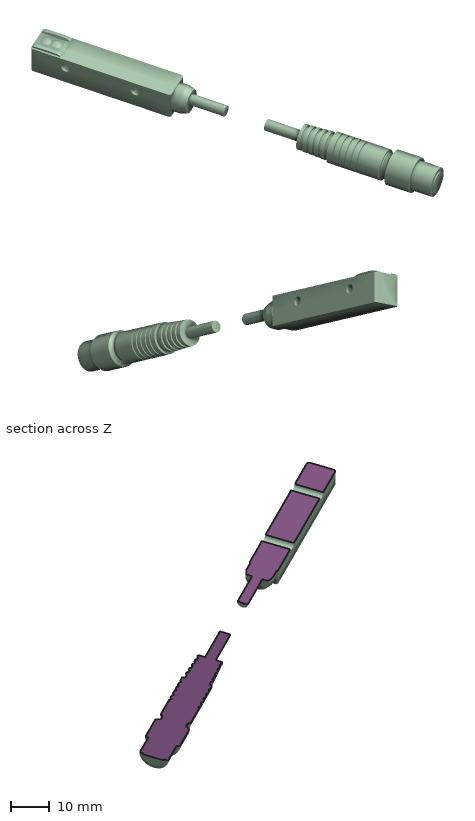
import cadquery as cq

TOTAL_LENGTH = 114.7

HOUSING_LENGTH = 40.0
HOUSING_SIDE = 8.0
HOUSING_TOP_Z = 3.3
HOUSING_MID_Z = HOUSING_TOP_Z - HOUSING_SIDE / 2
HOUSING_CHAMFER = 0.5
HOLE_DIAMETER = 2.4
HOLE_DEPTH_BELOW_TOP = 3.0
FIRST_HOLE_X = 10.0
HOLE_SPACING = 20.0

PLATE_LENGTH = 8.5
PLATE_WIDTH = HOUSING_SIDE - 2 * HOUSING_CHAMFER
PLATE_HEIGHT = 0.1
RAIL_HEIGHT = 0.7
RAIL_SHOULDER_HEIGHT = 0.6
RAIL_RAMP_LENGTH = 1.1
RAIL_FLAT_LENGTH = 1.4
RAIL_BASE_WIDTH = 1.4
RAIL_TOP_WIDTH = 0.9
LENS_DIAMETER = 3.1
LENS_HEIGHT = 0.5
LENS_COUNT = 2
LENS_SPACING = 2.8
FIRST_LENS_X = 2.6

GLAND_DROP = 0.1
GLAND_MID_Z = HOUSING_MID_Z - GLAND_DROP
GLAND_DIAMETER = 7.7
GLAND_STRAIGHT_LENGTH = 2.3
GLAND_TAPER_LENGTH = 1.7
GLAND_END_DIAMETER = 6.5
GLAND_LENGTH = GLAND_STRAIGHT_LENGTH + GLAND_TAPER_LENGTH
SENSOR_CABLE_DIAMETER = 3.0
SENSOR_CABLE_LENGTH = 10.0

CONNECTOR_START_X = 65.6
CONNECTOR_CABLE_DIAMETER = 3.1
BOOT_START_X = 75.7
RIB_COUNT = 5
FIRST_RIB_DIAMETER = 7.0
LAST_RIB_DIAMETER = 7.7
RIB_PITCH = 1.7
RIB_WIDTH = 0.97
BOOT_CORE_START_DIAMETER = 6.2
BOOT_CORE_END_DIAMETER = 7.0
GRIP_START_X = 84.6
GRIP_END_X = 99.7
GRIP_DIAMETER = 8.5
GRIP_GROOVE_DIAMETER = 7.8
GRIP_GROOVE_WIDTH = 0.3
GRIP_GROOVE_COUNT = 5
GRIP_GROOVE_PITCH = 1.7
FIRST_GRIP_GROOVE_X = 86.2
COLLAR_DIAMETER = 7.5
COLLAR_END_X = 100.1
NECK_DIAMETER = 7.0
NECK_END_X = 101.0
NUT_TAPER_DIAMETER = 7.7
NUT_START_X = 101.6
NUT_END_X = 108.5
NUT_DIAMETER = 9.6
PLUG_DIAMETER = 8.0
PLUG_TIP_LENGTH = 0.3
PLUG_TIP_DIAMETER = 5.8


def cylinder(start_x, end_x, diameter, axis_z=0.0):
    """Solid cylinder along X."""
    return (
        cq.Workplane("YZ", origin=(start_x, 0, axis_z))
        .circle(diameter / 2)
        .extrude(end_x - start_x)
    )


def cone(start_x, end_x, start_diameter, end_diameter, axis_z=0.0):
    """Solid truncated cone along X."""
    return cq.Workplane(
        cq.Solid.makeCone(
            start_diameter / 2,
            end_diameter / 2,
            end_x - start_x,
            cq.Vector(start_x, 0, axis_z),
            cq.Vector(1, 0, 0),
        )
    )


def make_housing():
    """Square bar with chamfered upright edges and two cross holes."""
    housing = (
        cq.Workplane("XY")
        .box(HOUSING_LENGTH, HOUSING_SIDE, HOUSING_SIDE)
        .edges("|Z")
        .chamfer(HOUSING_CHAMFER)
        .translate((HOUSING_LENGTH / 2, 0, HOUSING_MID_Z))
    )
    hole_z = HOUSING_TOP_Z - HOLE_DEPTH_BELOW_TOP
    holes = (
        cq.Workplane("XZ")
        .pushPoints([(FIRST_HOLE_X, hole_z), (FIRST_HOLE_X + HOLE_SPACING, hole_z)])
        .circle(HOLE_DIAMETER / 2)
        .extrude(HOUSING_SIDE, both=True)
    )
    return housing.cut(holes)


def make_rail():
    """Guard rail on the +Y side: arched along X, with a sloping inner face."""
    top_z = HOUSING_TOP_Z + RAIL_HEIGHT
    shoulder_z = HOUSING_TOP_Z + RAIL_SHOULDER_HEIGHT
    mid_x = PLATE_LENGTH / 2
    half_arch = (
        cq.Workplane("XZ")
        .moveTo(mid_x, HOUSING_TOP_Z)
        .lineTo(mid_x, top_z)
        .lineTo(mid_x - RAIL_FLAT_LENGTH / 2, top_z)
        .tangentArcPoint((RAIL_RAMP_LENGTH, shoulder_z), relative=False)
        .tangentArcPoint((0, HOUSING_TOP_Z), relative=False)
        .close()
        .extrude(-HOUSING_SIDE)
    )
    arch = half_arch.union(half_arch.mirror("YZ", (mid_x, 0, 0)))
    outer_y = PLATE_WIDTH / 2
    section = (
        cq.Workplane("YZ")
        .polyline(
            [
                (outer_y, HOUSING_TOP_Z),
                (outer_y, top_z),
                (outer_y - RAIL_TOP_WIDTH, top_z),
                (outer_y - RAIL_BASE_WIDTH, HOUSING_TOP_Z),
            ]
        )
        .close()
        .extrude(PLATE_LENGTH)
    )
    return arch.intersect(section)


def make_lens(center_x):
    """Spherical cap rising through the plate, with its visible rim on the plate top."""
    rim_radius = LENS_DIAMETER / 2
    sphere_radius = (rim_radius**2 + LENS_HEIGHT**2) / (2 * LENS_HEIGHT)
    sphere_z = HOUSING_TOP_Z + PLATE_HEIGHT + LENS_HEIGHT - sphere_radius
    sphere = cq.Workplane("XZ", origin=(center_x, 0, sphere_z)).sphere(sphere_radius)
    above_housing = (
        cq.Workplane("XY", origin=(center_x, 0, HOUSING_TOP_Z))
        .rect(2 * LENS_DIAMETER, 2 * LENS_DIAMETER)
        .extrude(LENS_DIAMETER)
    )
    return sphere.intersect(above_housing)


def make_window():
    """Thin plate with two rails and two lenses."""
    window = (
        cq.Workplane("XY", origin=(PLATE_LENGTH / 2, 0, HOUSING_TOP_Z))
        .rect(PLATE_LENGTH, PLATE_WIDTH)
        .extrude(PLATE_HEIGHT)
    )
    rail = make_rail()
    window = window.union(rail).union(rail.mirror("XZ"))
    for index in range(LENS_COUNT):
        window = window.union(make_lens(FIRST_LENS_X + index * LENS_SPACING))
    return window


def make_sensor():
    """Housing, window, gland and cable stub as one solid."""
    taper_x = HOUSING_LENGTH + GLAND_STRAIGHT_LENGTH
    gland_end_x = HOUSING_LENGTH + GLAND_LENGTH
    cable_end_x = gland_end_x + SENSOR_CABLE_LENGTH
    return (
        make_housing()
        .union(make_window())
        .union(cylinder(HOUSING_LENGTH, taper_x, GLAND_DIAMETER, GLAND_MID_Z))
        .union(cone(taper_x, gland_end_x, GLAND_DIAMETER, GLAND_END_DIAMETER, GLAND_MID_Z))
        .union(cylinder(gland_end_x, cable_end_x, SENSOR_CABLE_DIAMETER))
    )


def make_boot():
    """Tapered core with ribs that grow evenly towards the grip."""
    boot = cone(BOOT_START_X, GRIP_START_X, BOOT_CORE_START_DIAMETER, BOOT_CORE_END_DIAMETER)
    diameter_step = (LAST_RIB_DIAMETER - FIRST_RIB_DIAMETER) / (RIB_COUNT - 1)
    for index in range(RIB_COUNT):
        diameter = FIRST_RIB_DIAMETER + index * diameter_step
        rib_x = BOOT_START_X + index * RIB_PITCH
        boot = boot.union(cylinder(rib_x, rib_x + RIB_WIDTH, diameter))
    return boot


def make_grip():
    """Cylinder with evenly spaced ring grooves."""
    grip = cylinder(GRIP_START_X, GRIP_END_X, GRIP_DIAMETER)
    for index in range(GRIP_GROOVE_COUNT):
        groove_x = FIRST_GRIP_GROOVE_X + index * GRIP_GROOVE_PITCH
        groove_end_x = groove_x + GRIP_GROOVE_WIDTH
        ring = cylinder(groove_x, groove_end_x, 2 * GRIP_DIAMETER).cut(
            cylinder(groove_x, groove_end_x, GRIP_GROOVE_DIAMETER)
        )
        grip = grip.cut(ring)
    return grip


def make_connector():
    """Cable stub, boot, grip, neck, nut and plug as one solid."""
    plug_end_x = TOTAL_LENGTH - PLUG_TIP_LENGTH
    return (
        cylinder(CONNECTOR_START_X, BOOT_START_X, CONNECTOR_CABLE_DIAMETER)
        .union(make_boot())
        .union(make_grip())
        .union(cylinder(GRIP_END_X, COLLAR_END_X, COLLAR_DIAMETER))
        .union(cylinder(COLLAR_END_X, NECK_END_X, NECK_DIAMETER))
        .union(cone(NECK_END_X, NUT_START_X, NUT_TAPER_DIAMETER, NUT_DIAMETER))
        .union(cylinder(NUT_START_X, NUT_END_X, NUT_DIAMETER))
        .union(cylinder(NUT_END_X, plug_end_x, PLUG_DIAMETER))
        .union(cylinder(plug_end_x, TOTAL_LENGTH, PLUG_TIP_DIAMETER))
    )


sensor = make_sensor()
connector = make_connector()
result = cq.Compound.makeCompound([sensor.val(), connector.val()])